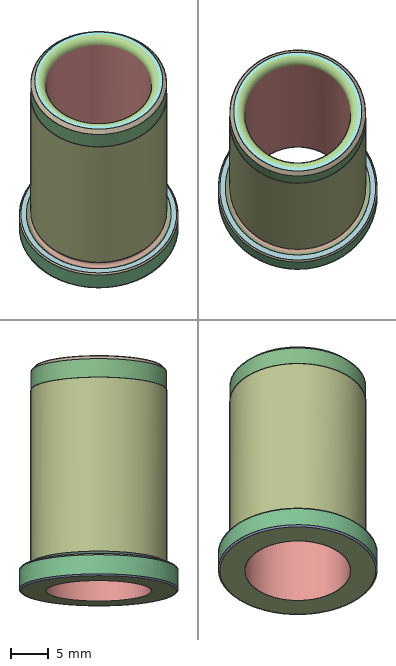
import cadquery as cq
import math

total_height = 30.0
head_radius = 10.5
head_height = 3.0
head_chamfer = 0.2
body_radius = 9.0
body_chamfer = 0.5
lead_in_height = 3.0
lead_in_clearance = 0.03
bore_radius = 7.0
bore_round = 1.0
relief_reach = 0.57
relief_wall_depth = 0.18

diagonal = math.sqrt(0.5)
band_radius = body_radius - lead_in_clearance
band_bottom = total_height - lead_in_height
bore_round_middle = bore_round * (1 - diagonal)

relief_round = relief_reach * diagonal


def relief_point(across, depth):
    """Radius and height of a point in the relief: across its middle line and deep into the corner."""
    return (
        body_radius + (across - depth) * diagonal,
        head_height - (across + depth) * diagonal,
    )


section = (
    cq.Workplane("XZ")
    .moveTo(bore_radius, 0)
    .lineTo(head_radius - head_chamfer, 0)
    .lineTo(head_radius, head_chamfer)
    .lineTo(head_radius, head_height - head_chamfer)
    .lineTo(head_radius - head_chamfer, head_height)
    .lineTo(body_radius + relief_reach, head_height)
    .lineTo(*relief_point(relief_round, relief_wall_depth))
    .threePointArc(
        relief_point(0, relief_wall_depth + relief_round),
        relief_point(-relief_round, relief_wall_depth),
    )
    .lineTo(body_radius, head_height + relief_reach)
    .lineTo(body_radius, band_bottom)
    .lineTo(band_radius, band_bottom)
    .lineTo(band_radius, total_height - body_chamfer)
    .lineTo(band_radius - body_chamfer, total_height)
    .lineTo(bore_radius + bore_round, total_height)
    .threePointArc(
        (bore_radius + bore_round_middle, total_height - bore_round_middle),
        (bore_radius, total_height - bore_round),
    )
    .close()
)

result = section.revolve(360, (0, 0, 0), (0, 1, 0))